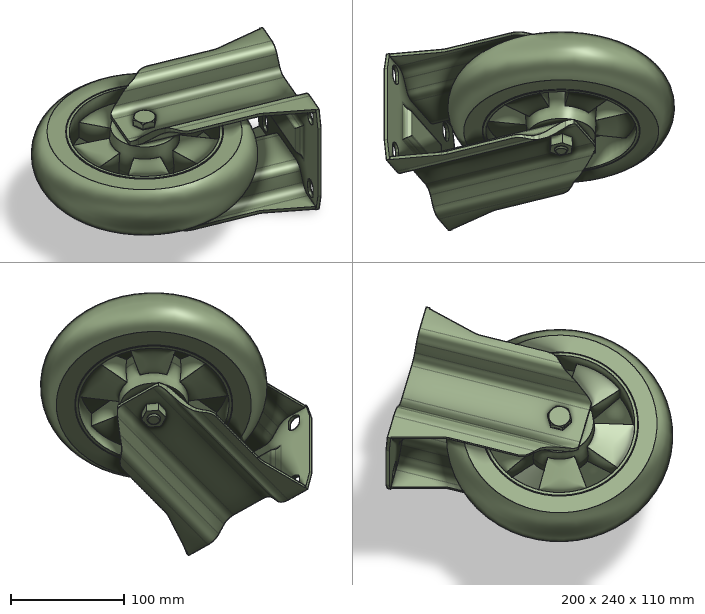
import cadquery as cq
import math


bracket_height = 110.0
sheet = 3.0
plate_back_y = 140.0
plate_half_width = 70.0
plate_taper_z = 37.0
flange_half_width = 65.5
bend_top_x = 44.1
bend_foot_x = 16.0
outer_bend_radius = 14.2
inner_bend_radius = 12.5
leg_outer_z = 34.0
leg_inner_x_shift = 3.0
top_z = bracket_height / 2
plate_front_y = plate_back_y - sheet

waist_half_width = 51.5
waist_y = 89.5
waist_radius = 20.0
shoulder_y = 18.0
shoulder_radius = 14.9
hip_x = 39.0
hip_y = 5.8
toe_start_x = 27.0
toe_start_y = -17.0
toe_end_x = 22.3
toe_end_y = -23.0

slot_width = 12.0
slot_height = 18.2
slot_x = 52.5
slot_z = 40.0
pad_base_x = 35.5
pad_base_z = 17.0
pad_height = 5.8
pad_draft = 38
pad_foot_radius = 5.5
pad_edge_radius = 1.2

tyre_radius = 100.0
tyre_width = 50.0
tyre_flat_radius = 86.1
rim_outer_radius = 139.5 / 2
rim_edge_radius = 138.2 / 2
rim_inner_radius = 133.0 / 2
rim_edge_depth = 0.7
hub_end_radius = 30.0
hub_root_radius = 32.2
hub_half_length = 30.2
web_hub_z = 17.8
web_rim_z = 10.8
web_thickness = 5.0
sector_count = 10
sector_angle = 360 / sector_count
first_high_angle = -sector_angle / 2

bolt_diameter = 12.0
bolt_tip_diameter = 10.0
bolt_tip_length = 1.7
bolt_tip_z = -45.8
hex_across_flats = 19.0
washer_face_height = 0.6
washer_face_diameter = 18.0
head_top_z = 41.5
nut_end_z = -43.7


def hexagon(depth, base_z):
    """Hexagonal prism with corners on the Y axis."""
    return (
        cq.Workplane("XY").workplane(offset=base_z)
        .polygon(6, hex_across_flats, circumscribed=True)
        .extrude(depth)
    )


def cylinder(diameter, depth, base_z):
    return cq.Workplane("XY").workplane(offset=base_z).circle(diameter / 2).extrude(depth)



def under_bends(x_shift, z_drop, length):
    """Body below the bent leg surface (both legs), reaching forward from the plate back.

    Each side runs flat, round a convex arc, down a slope and round a concave arc to the leg centre.
    """
    radius_sum = outer_bend_radius + inner_bend_radius
    run = bend_top_x - bend_foot_x
    drop = top_z - leg_outer_z
    angle = (math.asin(radius_sum / math.hypot(radius_sum - drop, run))
             - math.atan2(radius_sum - drop, run))

    high_x = bend_top_x + x_shift
    high_z = top_z - z_drop
    low_x = bend_foot_x + x_shift
    low_z = leg_outer_z - z_drop

    def outer_arc(turn):
        return (high_x - outer_bend_radius * math.sin(turn),
                high_z - outer_bend_radius * (1 - math.cos(turn)))

    def inner_arc(turn):
        return (low_x + inner_bend_radius * math.sin(turn),
                low_z + inner_bend_radius * (1 - math.cos(turn)))

    def left(point):
        return (-point[0], point[1])

    upper_half = (
        cq.Workplane("XZ", origin=(0, plate_back_y, 0))
        .moveTo(plate_half_width, 0)
        .lineTo(plate_half_width, high_z)
        .lineTo(high_x, high_z)
        .threePointArc(outer_arc(angle / 2), outer_arc(angle))
        .lineTo(*inner_arc(angle))
        .threePointArc(inner_arc(angle / 2), inner_arc(0))
        .lineTo(-low_x, low_z)
        .threePointArc(left(inner_arc(angle / 2)), left(inner_arc(angle)))
        .lineTo(*left(outer_arc(angle)))
        .threePointArc(left(outer_arc(angle / 2)), left(outer_arc(0)))
        .lineTo(-plate_half_width, high_z)
        .lineTo(-plate_half_width, 0)
        .close()
        .extrude(length)
    )
    return upper_half.union(upper_half.mirror("XY"))


def leg_outline():
    """Prism whose plan is the leg: tapered flange, straight waist, shoulders and rounded toe."""
    half = (
        cq.Workplane("XY").workplane(offset=-top_z)
        .moveTo(0, plate_back_y)
        .lineTo(flange_half_width, plate_back_y)
        .lineTo(waist_half_width, waist_y)
        .lineTo(waist_half_width, shoulder_y)
        .lineTo(hip_x, hip_y)
        .lineTo(toe_start_x, toe_start_y)
        .tangentArcPoint((toe_end_x, toe_end_y), relative=False)
        .lineTo(0, toe_end_y)
        .close()
        .extrude(bracket_height)
    )
    corners = [
        (waist_half_width, waist_y, waist_radius),
        (waist_half_width, shoulder_y, shoulder_radius),
        (hip_x, hip_y, shoulder_radius),
    ]
    for x, y, radius in corners:
        half = half.edges(cq.selectors.NearestToPointSelector((x, y, 0))).fillet(radius)
    return half.union(half.mirror("YZ"))


def make_legs():
    length = plate_back_y - toe_end_y
    bent_sheet = under_bends(0, 0, length).cut(under_bends(leg_inner_x_shift, sheet, length))
    return bent_sheet.intersect(leg_outline())


def make_plate():
    right_side = [(flange_half_width, -top_z), (plate_half_width, -plate_taper_z),
                  (plate_half_width, plate_taper_z), (flange_half_width, top_z)]
    left_side = [(-x, z) for x, z in reversed(right_side)]
    tapered = (
        cq.Workplane("XZ", origin=(0, plate_back_y, 0))
        .polyline(right_side + left_side)
        .close()
        .extrude(sheet)
    )
    return under_bends(0, 0, sheet).intersect(tapered)


def make_pad():
    """Raised rectangular stiffening pad with sloping sides on the plate front."""
    return (
        cq.Workplane("XZ", origin=(0, plate_front_y, 0))
        .rect(2 * pad_base_x, 2 * pad_base_z)
        .extrude(pad_height, taper=pad_draft)
        .faces("<Y").edges().fillet(pad_edge_radius)
    )


def make_bracket():
    bracket = make_legs().union(make_plate()).union(make_pad())
    foot_reach = 0.2
    pad_foot = cq.selectors.BoxSelector(
        (-pad_base_x - foot_reach, plate_front_y - foot_reach, -pad_base_z - foot_reach),
        (pad_base_x + foot_reach, plate_front_y + foot_reach, pad_base_z + foot_reach),
        boundingbox=True,
    )
    bracket = bracket.edges(pad_foot).fillet(pad_foot_radius)
    slots = (
        cq.Workplane("XZ", origin=(0, plate_back_y, 0))
        .rect(2 * slot_x, 2 * slot_z, forConstruction=True)
        .vertices()
        .slot2D(slot_height, slot_width, 90)
        .extrude(sheet)
    )
    axle_holes = cylinder(bolt_diameter, bracket_height, -top_z)
    return bracket.cut(slots).cut(axle_holes)



def ring(points):
    """Body turned about Z from (radius, z) points."""
    return cq.Workplane("XZ").polyline(points).close().revolve(360, (0, 0), (0, 1))


def make_tyre():
    half_width = tyre_width / 2
    return (
        cq.Workplane("XZ")
        .moveTo(rim_outer_radius, -half_width)
        .lineTo(tyre_flat_radius, -half_width)
        .threePointArc((tyre_radius, 0), (tyre_flat_radius, half_width))
        .lineTo(rim_outer_radius, half_width)
        .close()
        .revolve(360, (0, 0), (0, 1))
    )


def make_rim():
    edge_z = tyre_width / 2
    shoulder_z = edge_z - rim_edge_depth
    return ring([
        (rim_inner_radius, -edge_z), (rim_edge_radius, -edge_z), (rim_outer_radius, -shoulder_z),
        (rim_outer_radius, shoulder_z), (rim_edge_radius, edge_z), (rim_inner_radius, edge_z),
    ])


def make_hub():
    bore_radius = bolt_diameter / 2
    return ring([
        (bore_radius, -hub_half_length), (hub_end_radius, -hub_half_length), (hub_root_radius, 0),
        (hub_end_radius, hub_half_length), (bore_radius, hub_half_length),
    ])


def sector(center_angle):
    """Wedge between the web walls: its sides lie half a wall inside the radial sector borders."""
    half_angle = math.radians(sector_angle / 2)
    tip = web_thickness / 2 / math.sin(half_angle)
    reach = rim_outer_radius
    half_span = (reach - tip) * math.tan(half_angle)
    wedge = (
        cq.Workplane("XY")
        .polyline([(tip, 0), (reach, half_span), (reach, -half_span)])
        .close()
        .extrude(web_hub_z, both=True)
    )
    return wedge.rotate((0, 0, 0), (0, 0, 1), center_angle)


def make_web():
    """Pleated web: its sectors lie high and low in turn, joined by upright walls."""
    inner, outer = hub_end_radius, rim_inner_radius
    web = ring([(inner, -web_hub_z), (outer, -web_rim_z), (outer, web_rim_z), (inner, web_hub_z)])
    upper_space = ring([
        (inner, web_thickness - web_hub_z), (outer, web_thickness - web_rim_z),
        (outer, web_hub_z), (inner, web_hub_z),
    ])
    lower_space = upper_space.mirror("XY")
    for index in range(sector_count):
        space = lower_space if index % 2 == 0 else upper_space
        web = web.cut(space.intersect(sector(first_high_angle + index * sector_angle)))
    return web


def make_wheel():
    return make_rim().union(make_web()).union(make_hub())



def make_bolt():
    washer_top_z = leg_outer_z + washer_face_height
    head_height = head_top_z - washer_top_z
    corner_trim = (
        cq.Workplane("XY").workplane(offset=washer_top_z)
        .circle(hex_across_flats / 2 + head_height)
        .extrude(head_height, taper=45)
    )
    head = hexagon(head_height, washer_top_z).intersect(corner_trim)
    washer_face = cylinder(washer_face_diameter, washer_face_height, leg_outer_z)
    tip_inset = (bolt_diameter - bolt_tip_diameter) / 2
    shank = (
        cylinder(bolt_diameter, leg_outer_z - bolt_tip_z, bolt_tip_z)
        .faces("<Z").chamfer(bolt_tip_length, tip_inset)
    )
    return shank.union(washer_face).union(head)


def make_nut():
    height = -leg_outer_z - nut_end_z
    return hexagon(height, nut_end_z).cut(cylinder(bolt_diameter, height, nut_end_z))


bracket = make_bracket()
tyre = make_tyre()
wheel = make_wheel()
bolt = make_bolt()
nut = make_nut()

result = cq.Compound.makeCompound([bracket.val(), tyre.val(), wheel.val(), bolt.val(), nut.val()])